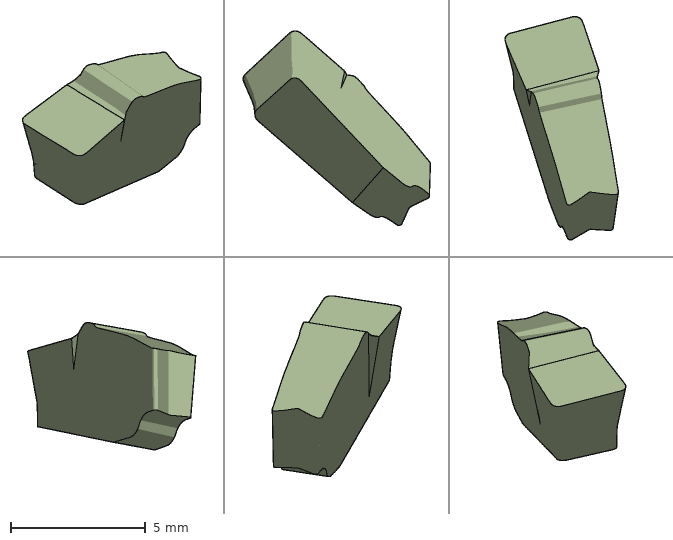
import cadquery as cq
import math


edge_width = 3.0
length = 7.27
crest_height = 0.532
overall_height = 4.95
floor_z = crest_height - overall_height
blank_half_width = 2.0

front_y = 0.26
front_kink_z = -2.06
front_clearance = front_y / -front_kink_z
front_corner_radius = 0.3

underside_front_z = -2.822
underside_slope = math.tan(math.radians(19.1))
underside_cross_slope = 0.033

rake_length = 2.6
upper_curve = [
    (2.8, 0.09),
    (2.95, 0.19),
    (3.1, 0.33),
    (3.28, 0.494),
    (3.38, crest_height),
    (3.5, 0.524),
    (3.77, 0.42),
    (3.865, 0.37),
    (3.965, 0.245),
    (4.07, 0.19),
    (4.8, -0.087),
    (5.6, -0.39),
    (5.9, -0.528),
    (6.5, -0.867),
    (7.05, -1.178),
    (7.15, -1.224),
    (7.4, -1.25),
]
top_reference_x = -1.18
top_skew_y = -0.05
top_skew_z = -0.02

tail_floor_z = -3.66
tail_arc_start_y = 6.8
tail_inflection = (6.22, -4.07)
tail_arc_end_y = 5.75
tail_upper_middle = (6.5, -3.74)
tail_lower_middle = (6.01, -4.32)

left_offset = -1.402
left_along_y = 0.082
left_along_z = -0.078
right_offset = 1.298
right_along_z = math.tan(math.radians(1.0))

head_land_end_y = 0.5
head_rear_half_width = 1.421
head_left_draft = 0.1635
head_right_draft = 0.124
head_land_draft = 0.1
head_rear_draft = -0.04
head_rear_run = (0.5, 0.82)
head_top_z = 0.45
head_bottom_z = -2.75

back_valley = (0.326, 6.913)
back_left_slope = 0.394
back_right_slope = 0.313
back_corner_radius = 0.12

margin = 1.0
corner_reach = 0.1
least_upright_rise = 0.3


def profile_wire(x):
    """Side outline of the insert in the plane at the given X."""
    drift_y = top_skew_y * (x - top_reference_x)
    drift_z = top_skew_z * (x - top_reference_x)

    def skewed(point):
        return (point[0] + drift_y, point[1] + drift_z)

    front_bottom_z = underside_front_z - underside_cross_slope * x
    floor_start_y = front_y + (front_bottom_z - floor_z) / underside_slope
    tail_y = length + margin
    outline = (
        cq.Workplane("YZ", origin=(x, 0, 0))
        .moveTo(0, 0)
        .lineTo(rake_length, 0)
        .spline([skewed(point) for point in upper_curve], includeCurrent=True)
        .lineTo(tail_y, upper_curve[-1][1])
        .lineTo(tail_y, tail_floor_z)
        .lineTo(tail_arc_start_y, tail_floor_z)
        .threePointArc(tail_upper_middle, tail_inflection)
        .threePointArc(tail_lower_middle, (tail_arc_end_y, floor_z))
        .lineTo(floor_start_y, floor_z)
        .lineTo(front_y, front_bottom_z)
        .lineTo(front_y, front_kink_z)
        .close()
    )
    return outline.wire().val()


def make_blank():
    """Full-width sweep of the side outline."""
    ends = [profile_wire(-blank_half_width), profile_wire(blank_half_width)]
    return cq.Workplane(obj=cq.Solid.makeLoft(ends, True))


def body_section(z):
    """Four-sided plan of the drafted body at height z, open-ended in Y."""
    near_y = -margin
    far_y = length + margin
    left_x = left_offset + left_along_z * z
    right_x = right_offset + right_along_z * z
    corners = [
        cq.Vector(left_x + left_along_y * near_y, near_y, z),
        cq.Vector(right_x, near_y, z),
        cq.Vector(right_x, far_y, z),
        cq.Vector(left_x + left_along_y * far_y, far_y, z),
    ]
    return cq.Wire.makePolygon(corners, close=True)


def make_back_groove():
    """Waste behind the V-shaped back end."""
    valley_x, valley_y = back_valley
    left_x = -blank_half_width
    left_y = valley_y + back_left_slope * (valley_x - left_x)
    right_x = blank_half_width
    right_y = valley_y + back_right_slope * (right_x - valley_x)
    far_y = length + 2 * margin
    return (
        cq.Workplane("XY", origin=(0, 0, floor_z - margin))
        .polyline([(left_x, left_y), back_valley, (right_x, right_y), (right_x, far_y), (left_x, far_y)])
        .close()
        .extrude(overall_height + 2 * margin)
    )


def round_uprights(solid, near_y, far_y, radius):
    """Fillet the steep edges that lie wholly between two Y positions."""

    def is_upright(edge):
        box = edge.BoundingBox()
        inside = box.ymin > near_y and box.ymax < far_y
        return inside and box.zlen > least_upright_rise

    uprights = [edge for edge in solid.edges().vals() if is_upright(edge)]
    return solid.newObject(uprights).fillet(radius)


def make_body(blank):
    """Drafted body with its front corners and back end rounded."""
    sections = [body_section(floor_z - margin), body_section(crest_height + margin)]
    sides = cq.Workplane(obj=cq.Solid.makeLoft(sections, True))
    body = blank.intersect(sides).cut(make_back_groove())

    body = round_uprights(body, -margin, front_y + corner_reach, front_corner_radius)
    return round_uprights(body, back_valley[1] - corner_reach, length + margin, back_corner_radius)


def head_section(z):
    """Plan of the head at height z: straight front, short lands, narrowing sides, slanted rear."""
    depth = -z
    front = front_clearance * depth
    land_end = head_land_end_y + head_land_draft * depth
    rear = rake_length + head_rear_draft * depth
    run_x, run_y = head_rear_run

    def half_outline(side, shrink):
        land_x = side * (edge_width / 2 - shrink)
        rear_x = side * (head_rear_half_width - shrink)
        return [(land_x, front), (land_x, land_end), (rear_x, rear), (rear_x - side * run_x, rear + run_y)]

    left = half_outline(-1, head_left_draft * depth)
    right = half_outline(1, head_right_draft * depth)
    points = left + right[::-1]
    return cq.Wire.makePolygon([cq.Vector(x, y, z) for x, y in points], close=True)


def make_head(blank):
    """Flared head, running down into the body."""
    sections = [head_section(head_bottom_z), head_section(head_top_z)]
    flare = cq.Workplane(obj=cq.Solid.makeLoft(sections, True))
    head = blank.intersect(flare)
    return round_uprights(head, -margin, front_y + corner_reach, front_corner_radius)


blank = make_blank()
result = make_body(blank).union(make_head(blank))